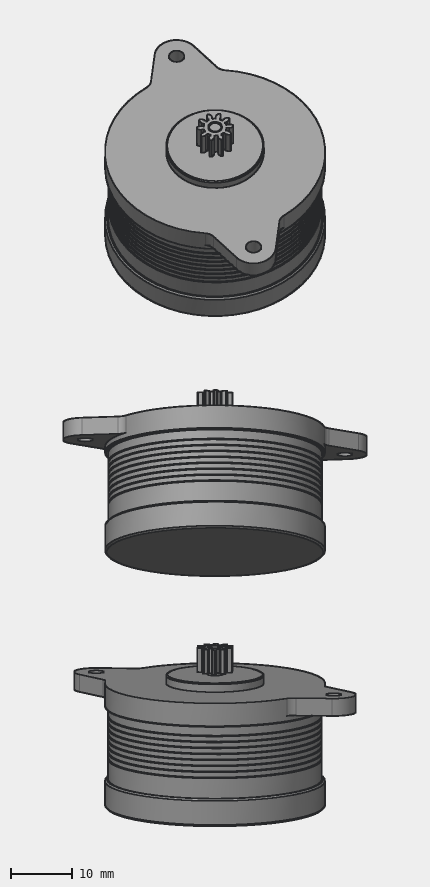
import cadquery as cq
import math

CAN_D = 36.0
STATOR_D = 35.0
BASE_CHAMFER = 0.3
BASE_TOP = 4.6
FLANGE_BOTTOM = 16.5
FLANGE_TOP = 20.5
FLANGE_CHAMFER = 0.2

GROOVE_COUNT = 8
GROOVE_PITCH = 0.995
GROOVE_WIDTH = 0.15
GROOVE_DEPTH = 0.1
LOWEST_GROOVE_Z = 8.0

OVERALL_LENGTH = 51.0
LUG_R = 3.6
LUG_THICKNESS = 2.9
LUG_TAPER = math.radians(22.5)
LUG_BLEND_R = 2.0
LUG_HOLE_D = 2.5
LUG_X = OVERALL_LENGTH / 2 - LUG_R

BOSS_D = 16.0
BOSS_TOP = 22.0
BOSS_CHAMFER = 0.2
COLLAR_D = 2.5
SHAFT_D = 2.0
TOTAL_HEIGHT = 26.5

PINION_BOTTOM = 22.5
TOOTH_COUNT = 10
MODULE = 0.5
DEDENDUM_FACTOR = 1.25
PRESSURE_ANGLE = math.radians(20)
FIRST_TOOTH_ANGLE = 6.0
FLANK_STEPS = 4
BORE_CHAMFER = 0.15
PITCH_R = MODULE * TOOTH_COUNT / 2
TIP_R = PITCH_R + MODULE
ROOT_R = PITCH_R - DEDENDUM_FACTOR * MODULE
BASE_R = PITCH_R * math.cos(PRESSURE_ANGLE)


def cylinder(diameter, bottom, top):
    """Vertical cylinder on the motor axis between two heights."""
    return cq.Workplane("XY").workplane(offset=bottom).circle(diameter / 2).extrude(top - bottom)


def make_lug_plate():
    """Disc with two tapered lugs, each blended into the rim, and a screw hole in each lug."""
    bottom = FLANGE_TOP - LUG_THICKNESS
    tangent_x = LUG_X + LUG_R * math.sin(LUG_TAPER)
    tangent_y = LUG_R * math.cos(LUG_TAPER)
    middle_y = tangent_y + tangent_x * math.tan(LUG_TAPER)
    outline = (
        cq.Workplane("XY").workplane(offset=bottom)
        .moveTo(0, middle_y)
        .lineTo(tangent_x, tangent_y)
        .threePointArc((LUG_X + LUG_R, 0), (tangent_x, -tangent_y))
        .lineTo(0, -middle_y)
        .lineTo(-tangent_x, -tangent_y)
        .threePointArc((-LUG_X - LUG_R, 0), (-tangent_x, tangent_y))
        .close()
    )
    plate = outline.extrude(LUG_THICKNESS).union(cylinder(CAN_D, bottom, FLANGE_TOP))

    upright_edges = plate.edges("|Z")
    corners = upright_edges.filter(
        lambda edge: abs(edge.Center().y) > LUG_R and abs(edge.Center().x) < LUG_X
    )
    plate = corners.fillet(LUG_BLEND_R)
    holes = (
        cq.Workplane("XY").workplane(offset=bottom)
        .pushPoints([(-LUG_X, 0), (LUG_X, 0)])
        .circle(LUG_HOLE_D / 2)
        .extrude(LUG_THICKNESS)
    )
    return plate.cut(holes)


def make_motor():
    """Can with lugs, pilot boss, collar and shaft."""
    base = cylinder(CAN_D, 0, BASE_TOP).faces("<Z or >Z").chamfer(BASE_CHAMFER)
    flange = cylinder(CAN_D, FLANGE_BOTTOM, FLANGE_TOP).faces("<Z").chamfer(FLANGE_CHAMFER)
    boss = cylinder(BOSS_D, FLANGE_TOP, BOSS_TOP).faces(">Z").chamfer(BOSS_CHAMFER)
    collar = cylinder(COLLAR_D, BOSS_TOP, PINION_BOTTOM)
    shaft = cylinder(SHAFT_D, PINION_BOTTOM, TOTAL_HEIGHT)

    stator = cylinder(STATOR_D, BASE_TOP, FLANGE_BOTTOM)
    for index in range(GROOVE_COUNT):
        bottom = LOWEST_GROOVE_Z + index * GROOVE_PITCH - GROOVE_WIDTH / 2
        top = bottom + GROOVE_WIDTH
        ring = cylinder(STATOR_D, bottom, top).cut(cylinder(STATOR_D - 2 * GROOVE_DEPTH, bottom, top))
        stator = stator.cut(ring)

    motor = base.union(stator).union(flange).union(make_lug_plate())
    return motor.union(boss).union(collar).union(shaft)


def polar(radius, angle):
    return (radius * math.cos(angle), radius * math.sin(angle))


def involute(angle):
    return math.tan(angle) - angle


def tooth_half_angle(radius):
    """Half the angle that an involute tooth spans at the given radius."""
    local_pressure = math.acos(min(1.0, BASE_R / radius))
    return math.pi / (2 * TOOTH_COUNT) + involute(PRESSURE_ANGLE) - involute(local_pressure)


def make_tooth():
    """One tooth along +X: radial below the base circle, involute above it, rounded at the tip."""
    radii = [BASE_R + (TIP_R - BASE_R) * step / FLANK_STEPS for step in range(FLANK_STEPS + 1)]
    upper = [polar(r, tooth_half_angle(r)) for r in radii]
    lower = [(x, -y) for x, y in upper]
    foot_angle = tooth_half_angle(BASE_R)
    return (
        cq.Workplane("XY").workplane(offset=PINION_BOTTOM)
        .moveTo(SHAFT_D / 2, 0)
        .lineTo(*polar(ROOT_R, -foot_angle))
        .lineTo(*lower[0])
        .spline(lower[1:], includeCurrent=True)
        .threePointArc((TIP_R, 0), upper[-1])
        .spline(upper[-2::-1], includeCurrent=True)
        .lineTo(*polar(ROOT_R, foot_angle))
        .close()
        .extrude(TOTAL_HEIGHT - PINION_BOTTOM)
    )


def make_pinion():
    """Spur pinion whose bore fits the shaft and is chamfered at the top."""
    pinion = cylinder(2 * ROOT_R, PINION_BOTTOM, TOTAL_HEIGHT)
    tooth = make_tooth()
    for index in range(TOOTH_COUNT):
        angle = FIRST_TOOTH_ANGLE + index * 360 / TOOTH_COUNT
        pinion = pinion.union(tooth.rotate((0, 0, 0), (0, 0, 1), angle))
    bore = cylinder(SHAFT_D, PINION_BOTTOM, TOTAL_HEIGHT)
    mouth = (
        cq.Workplane("XY").workplane(offset=TOTAL_HEIGHT)
        .circle(SHAFT_D / 2 + BORE_CHAMFER)
        .workplane(offset=-BORE_CHAMFER)
        .circle(SHAFT_D / 2)
        .loft()
    )
    return pinion.cut(bore).cut(mouth)


motor = make_motor()
pinion = make_pinion()
result = cq.Compound.makeCompound([motor.solids().val(), pinion.solids().val()])